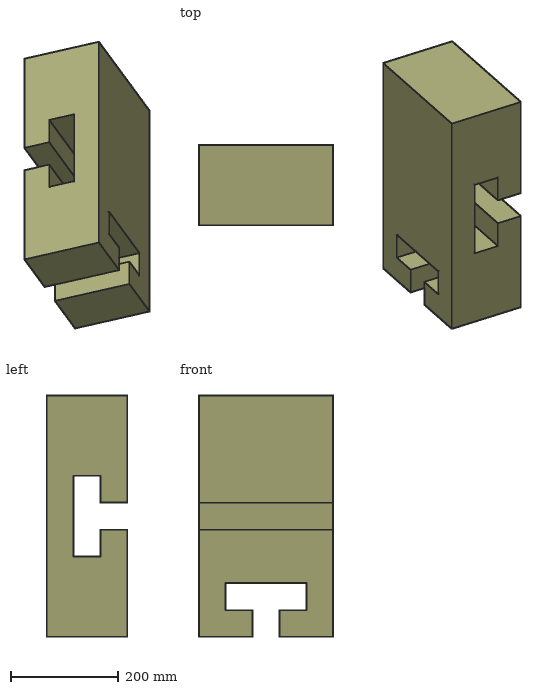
import cadquery as cq

height = 450.0
cell = height / 9
width = 5 * cell
depth = 3 * cell

throat_width = cell
throat_depth = cell
head_width = 3 * cell
head_depth = cell
head_middle = throat_depth + head_depth / 2


def make_block():
    """Block centred in X and Y, standing on Z = 0."""
    return cq.Workplane("XY").box(width, depth, height, centered=(True, True, False))


def bottom_slot_cutter():
    """T-slot open at the bottom face, running through the block along Y."""
    throat = cq.Workplane("XY").box(throat_width, depth, throat_depth)
    head = cq.Workplane("XY").box(head_width, depth, head_depth)
    throat = throat.translate((0, 0, throat_depth / 2))
    head = head.translate((0, 0, head_middle))
    return throat.union(head)


def front_slot_cutter():
    """T-slot open at the -Y face at mid height, running through along X."""
    front = -depth / 2
    throat = cq.Workplane("XY").box(width, throat_depth, throat_width)
    head = cq.Workplane("XY").box(width, head_depth, head_width)
    throat = throat.translate((0, front + throat_depth / 2, height / 2))
    head = head.translate((0, front + head_middle, height / 2))
    return throat.union(head)


result = make_block().cut(bottom_slot_cutter()).cut(front_slot_cutter())